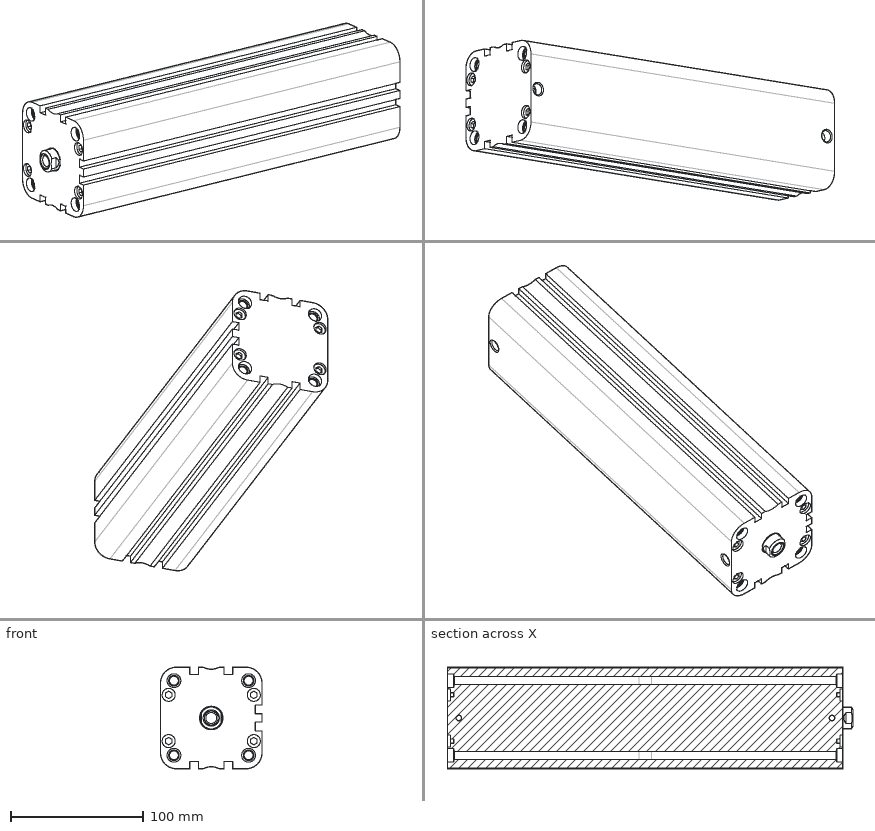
import cadquery as cq
import math

total_length = 307.0
body_width = 77.0
corner_radius = 12.3

rod_projection = 7.7
rod_diameter = 16.5
rod_chamfer_width = 2.0
rod_chamfer_length = 1.2
flat_width = 14.5
flat_length = 5.2
flat_ramp_length = 1.8
thread_diameter = 8.3
thread_mouth_diameter = 10.5
thread_depth = 18.5
rod_clearance_diameter = 17.8
rod_clearance_depth = 1.0

slot_width = 6.5
top_slot_depth = 5.5
side_slot_depth = 5.2
top_slot_offset = 13.0
side_slot_offset = 6.5

groove_width = 12.3
groove_depth = 1.5

mount_hole_offset = 28.2
mount_hole_diameter = 6.8
mount_mouth_diameter = 8.0
mount_counterbore_diameter = 10.5
mount_counterbore_depth = 4.5

screw_offset_x = 32.2
screw_offset_z = 17.5
screw_recess_diameter = 9.8
screw_recess_depth = 2.0
socket_across_flats = 5.0
socket_depth = 2.5

port_diameter = 8.5
port_mouth_diameter = 10.5
port_depth = 7.7
front_port_distance = 7.7
back_port_distance = 7.0
port_channel_diameter = 4.0
port_channel_depth = 4.5
front_channel_shift = 0.5
back_channel_shift = 1.5

half_width = body_width / 2
rod_tip_y = -total_length / 2
front_y = rod_tip_y + rod_projection
back_y = total_length / 2
body_length = back_y - front_y
body_mid_y = (front_y + back_y) / 2

along_x = cq.Vector(1, 0, 0)
along_y = cq.Vector(0, 1, 0)


def cylinder(start, direction, diameter, length):
    """Cylinder that grows from the start point along the direction."""
    return cq.Workplane(cq.Solid.makeCylinder(diameter / 2, length, cq.Vector(*start), direction))


def countersunk_bore(start, direction, diameter, mouth_diameter, depth):
    """Cutter for a bore with a 45 degree chamfer at its mouth."""
    chamfer = (mouth_diameter - diameter) / 2
    mouth = cq.Solid.makeCone(mouth_diameter / 2, diameter / 2, chamfer, cq.Vector(*start), direction)
    return cylinder(start, direction, diameter, depth).union(cq.Workplane(mouth))


def make_body():
    """Long square profile with rounded edges."""
    block = cq.Workplane().box(body_width, body_length, body_width)
    return block.edges("|Y").fillet(corner_radius).translate((0, body_mid_y, 0))


def cut_slots(body):
    """Slots in the top, bottom and +X sides."""
    slot_level = half_width - top_slot_depth / 2
    side_slot_x = half_width - side_slot_depth / 2
    for side in (-1, 1):
        for level in (-slot_level, slot_level):
            slot = cq.Workplane().box(slot_width, body_length, top_slot_depth)
            body = body.cut(slot.translate((side * top_slot_offset, body_mid_y, level)))
        side_slot = cq.Workplane().box(side_slot_depth, body_length, slot_width)
        body = body.cut(side_slot.translate((side_slot_x, body_mid_y, side * side_slot_offset)))
    return body


def cut_grooves(body):
    """Shallow arc grooves along the middle of the top and bottom."""
    radius = ((groove_width / 2) ** 2 + groove_depth ** 2) / (2 * groove_depth)
    axis_level = half_width + radius - groove_depth
    for level in (-axis_level, axis_level):
        body = body.cut(cylinder((0, front_y, level), along_y, 2 * radius, body_length))
    return body


def cut_mount_holes(body):
    """Through holes at the corners, counterbored and chamfered from both ends."""
    for x in (-mount_hole_offset, mount_hole_offset):
        for z in (-mount_hole_offset, mount_hole_offset):
            for face_y, inward in ((front_y, along_y), (back_y, -along_y)):
                counterbore = cylinder(
                    (x, face_y, z), inward, mount_counterbore_diameter, mount_counterbore_depth
                )
                floor_y = face_y + inward.y * mount_counterbore_depth
                hole = countersunk_bore(
                    (x, floor_y, z), inward, mount_hole_diameter, mount_mouth_diameter, body_length / 2
                )
                body = body.cut(counterbore).cut(hole)
    return body


def screw_recess(x, face_y, z, inward):
    """Cutter for a round recess with a hexagon socket in its floor."""
    recess = cylinder((x, face_y, z), inward, screw_recess_diameter, screw_recess_depth)
    floor_y = face_y + inward.y * screw_recess_depth
    socket_plane = cq.Plane(origin=(x, floor_y, z), xDir=(0, 0, 1), normal=inward.toTuple())
    across_corners = socket_across_flats / math.cos(math.pi / 6)
    socket = cq.Workplane(socket_plane).polygon(6, across_corners).extrude(socket_depth)
    return recess.union(socket)


def cut_screw_recesses(body):
    """Four recessed screws in each end face."""
    for face_y, inward in ((front_y, along_y), (back_y, -along_y)):
        for x in (-screw_offset_x, screw_offset_x):
            for z in (-screw_offset_z, screw_offset_z):
                body = body.cut(screw_recess(x, face_y, z, inward))
    return body


def cut_port(body, port_y, channel_y):
    """Port with a smaller off-centre channel at its bottom."""
    port_start = (-half_width, port_y, 0)
    body = body.cut(countersunk_bore(port_start, along_x, port_diameter, port_mouth_diameter, port_depth))
    channel_start = (-half_width + port_depth, channel_y, 0)
    return body.cut(cylinder(channel_start, along_x, port_channel_diameter, port_channel_depth))


def make_rod():
    """Rod end with a chamfered tip and two wrench flats facing -X and +X."""
    rod_length = rod_projection + rod_clearance_depth
    rod = cylinder((0, rod_tip_y, 0), along_y, rod_diameter, rod_length)
    rod = rod.faces("<Y").chamfer(rod_chamfer_length, rod_chamfer_width)
    flat_x = flat_width / 2
    outer_x = rod_diameter / 2
    flat_end_y = rod_tip_y + flat_length
    flat_cutter = (
        cq.Workplane("XY")
        .moveTo(flat_x, rod_tip_y)
        .lineTo(flat_x, flat_end_y)
        .lineTo(outer_x, flat_end_y + flat_ramp_length)
        .lineTo(outer_x, rod_tip_y)
        .close()
        .extrude(rod_diameter / 2, both=True)
    )
    return rod.cut(flat_cutter).cut(flat_cutter.mirror("YZ"))


def add_rod(body):
    """Rod in a shallow clearance ring, with a blind threaded bore in its tip."""
    clearance = cylinder((0, front_y, 0), along_y, rod_clearance_diameter, rod_clearance_depth)
    bore = countersunk_bore(
        (0, rod_tip_y, 0), along_y, thread_diameter, thread_mouth_diameter, thread_depth
    )
    return body.cut(clearance).union(make_rod()).cut(bore)


front_port_y = front_y + front_port_distance
back_port_y = back_y - back_port_distance

result = make_body()
result = cut_slots(result)
result = cut_grooves(result)
result = cut_mount_holes(result)
result = cut_screw_recesses(result)
result = cut_port(result, front_port_y, front_port_y + front_channel_shift)
result = cut_port(result, back_port_y, back_port_y - back_channel_shift)
result = add_rod(result)